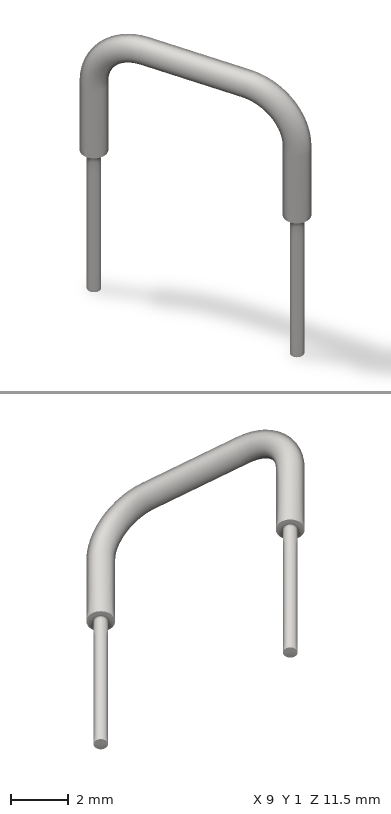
import cadquery as cq

overall_height = 11.49
sleeve_diameter = 1.0
pin_diameter = 0.5
leg_spacing = 8.0
bend_radius = 2.0
sleeve_leg_length = 3.0

half_spacing = leg_spacing / 2
half_bridge = half_spacing - bend_radius
bridge_height = sleeve_leg_length + bend_radius
pin_length = overall_height - bridge_height - sleeve_diameter / 2


def make_sleeve():
    """Sweep the round sleeve up one leg, across the bridge and down the other."""
    centreline = (
        cq.Workplane("XZ")
        .moveTo(-half_spacing, 0)
        .lineTo(-half_spacing, sleeve_leg_length)
        .tangentArcPoint((-half_bridge, bridge_height), relative=False)
        .lineTo(half_bridge, bridge_height)
        .tangentArcPoint((half_spacing, sleeve_leg_length), relative=False)
        .lineTo(half_spacing, 0)
    )
    return (
        cq.Workplane("XY")
        .center(-half_spacing, 0)
        .circle(sleeve_diameter / 2)
        .sweep(centreline)
    )


def make_pins():
    """Extrude both bare wire ends downward from the sleeve ends."""
    return (
        cq.Workplane("XY")
        .pushPoints([(-half_spacing, 0), (half_spacing, 0)])
        .circle(pin_diameter / 2)
        .extrude(-pin_length)
    )


result = make_sleeve().union(make_pins())